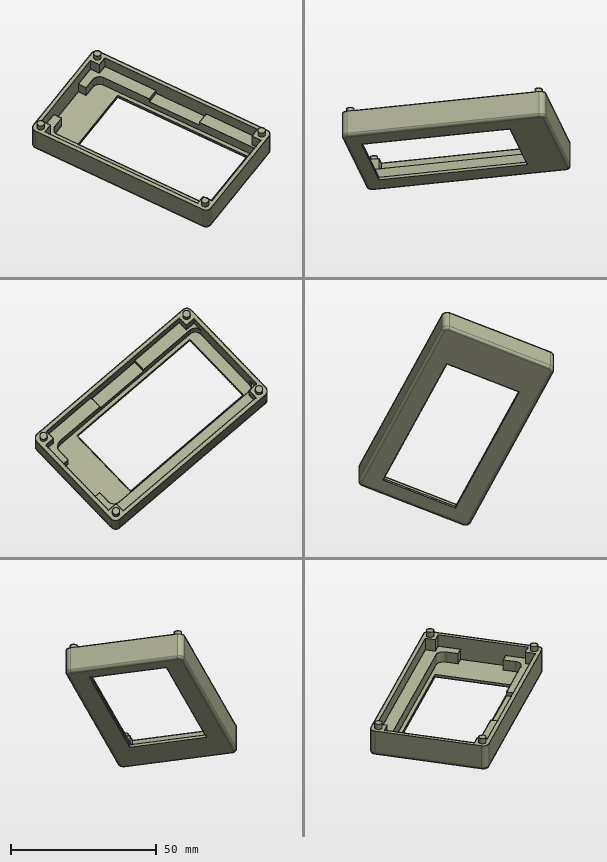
import cadquery as cq

length = 71.4
width = 42.0
total_height = 11.5
pin_height = 2.0
body_height = total_height - pin_height
corner_radius = 2.0
bottom_edge_radius = 1.0
wall = 1.4
floor_thickness = 1.0

post_size = 5.0
pin_diameter = 2.6
pin_inset_x = 2.65
pin_inset_y = 2.5

ledge_top = 5.0
pocket_inset_left = 4.6
pocket_inset_y = 5.9
pocket_radius = 2.7

left_gap_width = 16.1
back_notch_depth = 1.5
back_notch_width = 20.1

window_left = -21.9
window_right = 30.2
window_width = 27.3

inner_length = length - 2 * wall
inner_width = width - 2 * wall


def block(x_min, x_max, y_min, y_max, z_min, z_max):
    """Box given by its limits along each axis."""
    return cq.Workplane("XY").box(
        x_max - x_min, y_max - y_min, z_max - z_min, centered=False
    ).translate((x_min, y_min, z_min))


def outer_body():
    """Solid block with rounded corners and a rounded bottom edge."""
    body = cq.Workplane("XY").box(length, width, body_height, centered=(True, True, False))
    return body.edges("|Z").fillet(corner_radius).faces("<Z").edges().fillet(bottom_edge_radius)


def upper_cavity():
    """Space above the ledge, cut back around the four corner posts."""
    along_x = block(-inner_length / 2, inner_length / 2,
                    -width / 2 + post_size, width / 2 - post_size, ledge_top, body_height)
    along_y = block(-length / 2 + post_size, length / 2 - post_size,
                    -inner_width / 2, inner_width / 2, ledge_top, body_height)
    return along_x.union(along_y)


def display_pocket():
    """Round-cornered pocket down to the floor, reaching the right wall."""
    pocket = block(-length / 2 + pocket_inset_left, length / 2 - wall,
                   -width / 2 + pocket_inset_y, width / 2 - pocket_inset_y,
                   floor_thickness, ledge_top)
    return pocket.edges("|Z").fillet(pocket_radius)


def ledge_recesses():
    """Full-depth gap in the left ledge and shallow notch in the back ledge."""
    left_gap = block(-inner_length / 2, -length / 2 + pocket_inset_left,
                     -left_gap_width / 2, left_gap_width / 2, floor_thickness, ledge_top)
    back_notch = block(-back_notch_width / 2, back_notch_width / 2,
                       width / 2 - pocket_inset_y, inner_width / 2,
                       ledge_top - back_notch_depth, ledge_top)
    return left_gap.union(back_notch)


def window():
    """Rectangular opening through the floor."""
    return block(window_left, window_right, -window_width / 2, window_width / 2,
                 0, floor_thickness)


def pins():
    """Locating pins standing on the four corner posts."""
    return (
        cq.Workplane("XY").workplane(offset=body_height)
        .rect(length - 2 * pin_inset_x, width - 2 * pin_inset_y, forConstruction=True)
        .vertices().circle(pin_diameter / 2).extrude(pin_height)
    )


result = outer_body()
for cutter in (upper_cavity(), display_pocket(), ledge_recesses(), window()):
    result = result.cut(cutter)
result = result.union(pins())